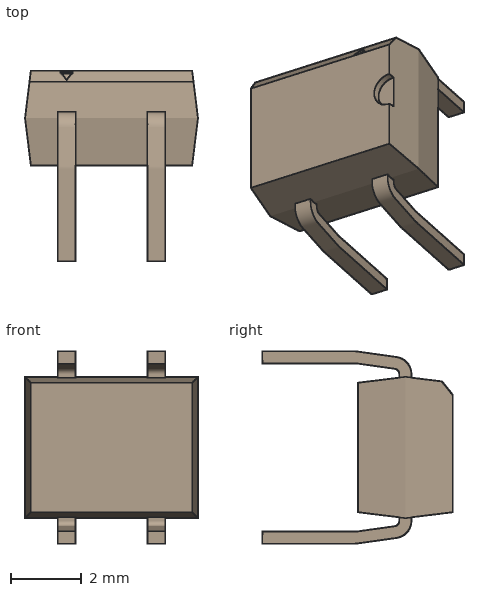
import cadquery as cq
import math

BODY_LENGTH = 4.9
BODY_HEIGHT = 4.0
BODY_DEPTH = 2.69
DRAFT_ANGLE = 7.0

BEVEL_DEPTH = 0.31
BEVEL_DROP = 0.35

NOTCH_RADIUS = 0.5
NOTCH_DEPTH = 0.2

MARK_WIDTH = 0.35
MARK_HEIGHT = 0.35
MARK_SINK = 0.06
MARK_EDGE_GAP = 0.07

LEAD_PITCH = 2.54
LEAD_WIDTH = 0.51
LEAD_THICKNESS = 0.35
LEAD_SPAN = 5.45
LEAD_REACH = 4.055
LEAD_SPLAY = 8.0
LEAD_KNEE = 1.4
LEAD_INNER_RADIUS = 0.15
LEAD_EMBED = 0.5
LEAD_TIP_ANGLE = 1.0

HALF_DEPTH = BODY_DEPTH / 2
DRAFT_INSET = HALF_DEPTH * math.tan(math.radians(DRAFT_ANGLE))
FACE_HALF_LENGTH = BODY_LENGTH / 2 - DRAFT_INSET
FACE_HALF_HEIGHT = BODY_HEIGHT / 2 - DRAFT_INSET
PIN_ONE_X = -LEAD_PITCH / 2


def body_half(direction):
    """Drafted half of the body; direction is +1 for the back, -1 for the front."""
    plane = cq.Plane(origin=(0, 0, 0), xDir=(1, 0, 0), normal=(0, direction, 0))
    return cq.Workplane(plane).rect(BODY_LENGTH, BODY_HEIGHT).extrude(HALF_DEPTH, taper=DRAFT_ANGLE)


def bevel_cutter():
    """Wedge that removes the upper back edge of the body."""
    start_y = HALF_DEPTH - BEVEL_DEPTH
    start_z = BODY_HEIGHT / 2 - start_y * math.tan(math.radians(DRAFT_ANGLE))
    profile = [
        (start_y, start_z),
        (HALF_DEPTH, FACE_HALF_HEIGHT - BEVEL_DROP),
        (HALF_DEPTH, start_z),
    ]
    return cq.Workplane("YZ").polyline(profile).close().extrude(BODY_LENGTH / 2, both=True)


def notch_cutter():
    """Round pocket with drafted walls, centred on the -X edge of the back face."""
    plane = cq.Plane(origin=(-FACE_HALF_LENGTH, HALF_DEPTH, 0), xDir=(1, 0, 0), normal=(0, -1, 0))
    return cq.Workplane(plane).circle(NOTCH_RADIUS).extrude(NOTCH_DEPTH, taper=DRAFT_ANGLE)


def mark_cutter():
    """Triangle next to the first lead, sunk square to the bevel and pointing at the lead."""
    rise = BEVEL_DROP + BEVEL_DEPTH * math.tan(math.radians(DRAFT_ANGLE))
    plane = cq.Plane(
        origin=(PIN_ONE_X, HALF_DEPTH, FACE_HALF_HEIGHT - BEVEL_DROP),
        xDir=(-1, 0, 0),
        normal=(0, rise, BEVEL_DEPTH),
    )
    profile = [
        (-MARK_WIDTH / 2, MARK_EDGE_GAP),
        (MARK_WIDTH / 2, MARK_EDGE_GAP),
        (0, MARK_EDGE_GAP + MARK_HEIGHT),
    ]
    return cq.Workplane(plane).polyline(profile).close().extrude(-MARK_SINK)


def fillet_across(solid, corner, radius):
    """Round the X-parallel edge of a lead nearest to a (y, z) profile corner."""
    edge = cq.selectors.NearestToPointSelector((solid.val().Center().x, *corner))
    return solid.edges("|X").edges(edge).fillet(radius)


def upper_lead(x_center):
    """Bent strip: straight up from the body, round bend, splayed run, then straight along -Y."""
    splay = math.radians(LEAD_SPLAY)
    outer_z = LEAD_SPAN / 2
    inner_z = outer_z - LEAD_THICKNESS
    half_thickness = LEAD_THICKNESS / 2
    root_z = BODY_HEIGHT / 2 - LEAD_EMBED
    tip_set_back = LEAD_THICKNESS * math.tan(math.radians(LEAD_TIP_ANGLE))
    inner_knee_y = -LEAD_KNEE + LEAD_THICKNESS * math.tan(splay / 2)

    outer_knee = (-LEAD_KNEE, outer_z)
    inner_knee = (inner_knee_y, inner_z)
    outer_bend = (half_thickness, outer_z - (half_thickness + LEAD_KNEE) * math.tan(splay))
    inner_bend = (-half_thickness, inner_z + (half_thickness + inner_knee_y) * math.tan(splay))
    profile = [
        (half_thickness, root_z),
        outer_bend,
        outer_knee,
        (-LEAD_REACH, outer_z),
        (-LEAD_REACH + tip_set_back, inner_z),
        inner_knee,
        inner_bend,
        (-half_thickness, root_z),
    ]
    sketch_plane = cq.Workplane("YZ", origin=(x_center, 0, 0))
    lead = sketch_plane.polyline(profile).close().extrude(LEAD_WIDTH / 2, both=True)

    for outer_corner, inner_corner in ((outer_bend, inner_bend), (outer_knee, inner_knee)):
        lead = fillet_across(lead, outer_corner, LEAD_INNER_RADIUS + LEAD_THICKNESS)
        lead = fillet_across(lead, inner_corner, LEAD_INNER_RADIUS)
    return lead


body = body_half(1).union(body_half(-1))
body = body.cut(bevel_cutter()).cut(notch_cutter()).cut(mark_cutter())

result = body
for lead_x in (PIN_ONE_X, -PIN_ONE_X):
    lead = upper_lead(lead_x)
    result = result.union(lead).union(lead.mirror("XY"))